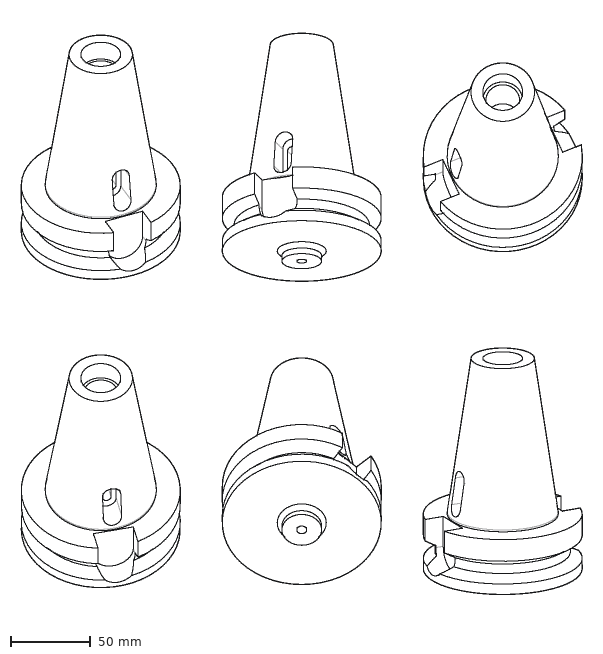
import cadquery as cq

total_height = 146.8
taper_top_radius = 20.0
taper_base_radius = 35.0
taper_base_z = 44.6

flange_radius = 50.0
flange_bottom_z = 6.9
flange_top_z = 43.5
groove_radius = 42.5
groove_lower_lip_z = 14.0
groove_upper_lip_z = 29.0
groove_floor_bottom_z = 18.4
groove_floor_top_z = groove_upper_lip_z - (groove_floor_bottom_z - groove_lower_lip_z)

pilot_radius = 12.5
pilot_neck_radius = 15.4
pilot_neck_z = 3.8

bore_radius = 12.5
bore_depth = 13.2
inner_bore_radius = 10.5
inner_bore_depth = 44.0
through_hole_radius = 3.1

notch_width = 25.7
notch_floor_x = 35.5
notch_bottom_z = 10.7

slot_center_z = 61.7
pocket_width = 11.7
pocket_length = 29.0
pocket_floor_x = 17.6
window_width = 5.3
window_length = 18.8


def make_body():
    """Revolve the taper, grooved flange and pilot."""
    profile = [
        (0, 0),
        (pilot_radius, 0),
        (pilot_radius, pilot_neck_z),
        (pilot_neck_radius, flange_bottom_z),
        (flange_radius, flange_bottom_z),
        (flange_radius, groove_lower_lip_z),
        (groove_radius, groove_floor_bottom_z),
        (groove_radius, groove_floor_top_z),
        (flange_radius, groove_upper_lip_z),
        (flange_radius, flange_top_z),
        (taper_base_radius, flange_top_z),
        (taper_base_radius, taper_base_z),
        (taper_top_radius, total_height),
        (0, total_height),
    ]
    return cq.Workplane("XZ").polyline(profile).close().revolve(360, (0, 0), (0, 1))


def make_bore():
    """Stepped blind bore from the top with a small hole through the axis."""
    top = cq.Workplane("XY").workplane(offset=total_height)
    outer = top.circle(bore_radius).extrude(-bore_depth)
    inner = top.circle(inner_bore_radius).extrude(-inner_bore_depth)
    hole = top.circle(through_hole_radius).extrude(-total_height)
    return outer.union(inner).union(hole)


def make_x_slot(width, length, center_z, start_x):
    """Upright round-ended slot running outward along +X from start_x."""
    return (
        cq.Workplane("YZ")
        .workplane(offset=start_x)
        .center(0, center_z)
        .slot2D(length, width, 90)
        .extrude(flange_radius - start_x)
    )


def make_notch():
    """Drive notch with a round bottom, open at the flange top."""
    round_center_z = notch_bottom_z + notch_width / 2
    return (
        cq.Workplane("YZ")
        .workplane(offset=notch_floor_x)
        .moveTo(-notch_width / 2, flange_top_z)
        .lineTo(-notch_width / 2, round_center_z)
        .threePointArc((0, notch_bottom_z), (notch_width / 2, round_center_z))
        .lineTo(notch_width / 2, flange_top_z)
        .close()
        .extrude(flange_radius - notch_floor_x)
    )


result = make_body().cut(make_bore())
side_cuts = [
    make_notch(),
    make_x_slot(pocket_width, pocket_length, slot_center_z, pocket_floor_x),
    make_x_slot(window_width, window_length, slot_center_z, 0),
]
for side_cut in side_cuts:
    result = result.cut(side_cut).cut(side_cut.mirror("YZ"))